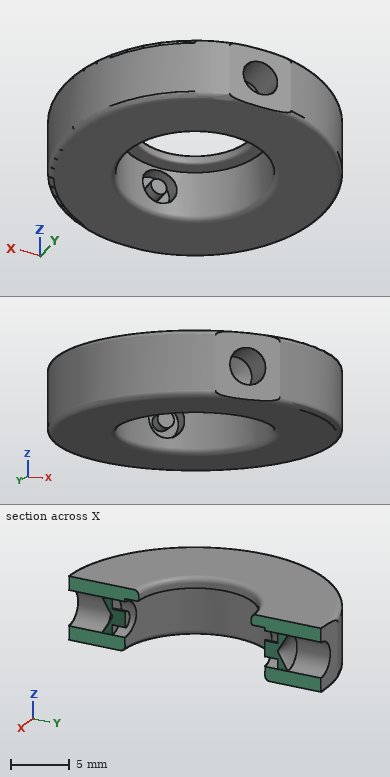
import cadquery as cq

outer_diameter = 25.4
across_flats = 24.7
width = 6.0
bore_diameter = 11.0
edge_radius = 0.5
counterbore_diameter = 13.67
lip_height = 1.07
lip_edge_radius = 0.2

screw_diameter = 3.3
point_diameter = 1.52
point_end = 6.8
point_length = 1.27
body_length = 1.02
recess_depth = 1.0


def make_collar():
    """Counterbored ring with rounded rims, two opposite flats and a radial hole through each flat."""
    ring = cq.Workplane("XY").circle(outer_diameter / 2).extrude(width / 2, both=True)
    ring = ring.faces(">Z").workplane().hole(bore_diameter)
    counterbore = (
        cq.Workplane("XY", origin=(0, 0, -width / 2))
        .circle(counterbore_diameter / 2)
        .extrude(width - lip_height)
    )
    ring = ring.cut(counterbore)
    lip_edge = cq.selectors.RadiusNthSelector(0)
    ring = ring.faces("<Z[1]").edges(lip_edge).fillet(lip_edge_radius)
    ring = ring.faces(">Z or <Z").edges().fillet(edge_radius)
    flats = cq.Workplane("XY").box(outer_diameter, across_flats, width)
    cross_hole = (
        cq.Workplane("XZ")
        .circle(screw_diameter / 2)
        .extrude(outer_diameter / 2, both=True)
    )
    return ring.intersect(flats).cut(cross_hole)


def make_screw(angle):
    """Screw along the radial hole, turned about the collar axis: cylindrical point, conical outer recess."""
    radius = screw_diameter / 2
    point_radius = point_diameter / 2
    shoulder = point_end + point_length
    outer_end = shoulder + body_length
    half_section = [
        (0, point_end),
        (point_radius, point_end),
        (point_radius, shoulder),
        (radius, shoulder),
        (radius, outer_end),
        (0, outer_end - recess_depth),
    ]
    screw = cq.Workplane("XY").polyline(half_section).close().revolve(360, (0, 0), (0, 1))
    return screw.rotate((0, 0, 0), (0, 0, 1), angle)


collar = make_collar()
set_screws = [make_screw(angle).val() for angle in (0, 180)]

result = cq.Compound.makeCompound([collar.val(), *set_screws])